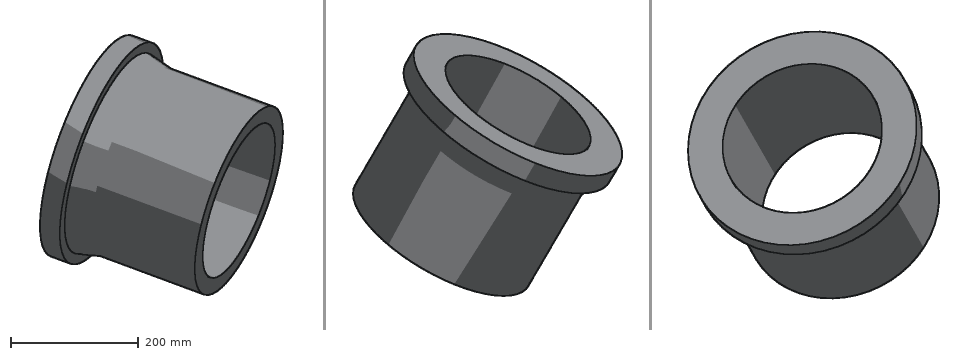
import cadquery as cq

total_length = 257.0
flange_diameter = 370.0
flange_thickness = 34.8
taper_diameter = 335.0
taper_length = 40.7
pipe_diameter = 315.0
bore_diameter = 258.0

taper_end = flange_thickness + taper_length

half_section = [
    (0, bore_diameter / 2),
    (0, flange_diameter / 2),
    (flange_thickness, flange_diameter / 2),
    (flange_thickness, taper_diameter / 2),
    (taper_end, pipe_diameter / 2),
    (total_length, pipe_diameter / 2),
    (total_length, bore_diameter / 2),
]

result = (
    cq.Workplane("XY")
    .polyline(half_section)
    .close()
    .revolve(360, (0, 0, 0), (1, 0, 0))
)